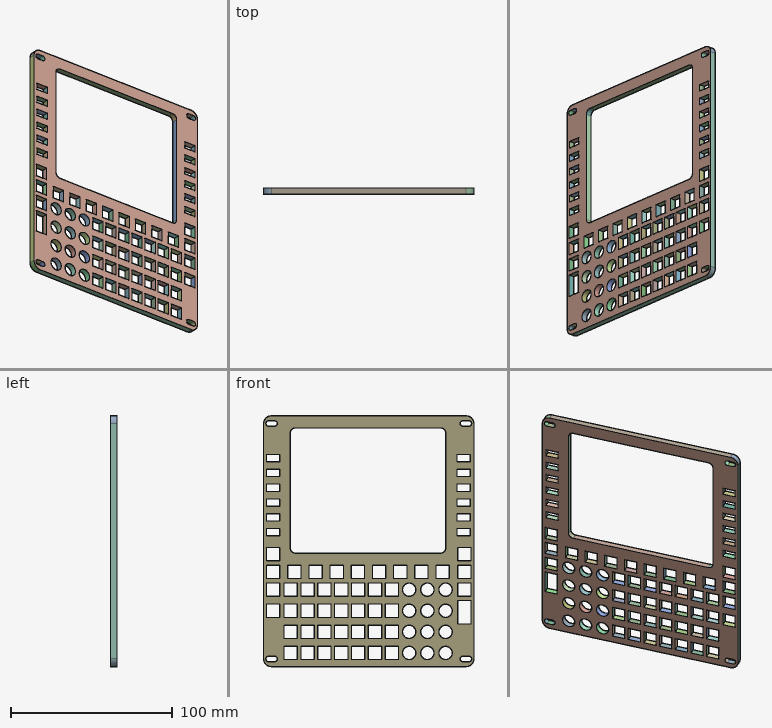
import cadquery as cq

WIDTH = 130.0
HEIGHT = 155
THICKNESS = 4.0
CORNER_RADIUS = 5.0

WINDOW_WIDTH = 96.0
WINDOW_HEIGHT = 77.2
WINDOW_X = -0.5
WINDOW_Z = 108.8
WINDOW_RADIUS = 3.1

SLOT_LENGTH = 7.0
SLOT_HEIGHT = 3.3
SLOT_X = 60.0
SLOT_EDGE_DISTANCE = 4.8

KEY_SIZE = 8.0
SIDE_COLUMN_X = 59.0

SOFT_KEY_HEIGHT = 4.3
SOFT_KEY_COUNT = 6
SOFT_KEY_PITCH = 9.1
SOFT_KEY_BOTTOM_Z = 83.1
LEFT_SOFT_KEY_X = -SIDE_COLUMN_X
RIGHT_SOFT_KEY_X = 58.6

CORNER_KEY_Z = 69.6
FUNCTION_ROW_Z = 58.6
FUNCTION_KEY_COUNT = 8
FUNCTION_FIRST_X = -45.9
FUNCTION_LAST_X = 45.5
MAIN_ROW_COUNT = 4
MAIN_ROW_PITCH = 13.0
MAIN_BOTTOM_Z = 8.5
MAIN_ROWS_Z = [MAIN_BOTTOM_Z + row * MAIN_ROW_PITCH for row in range(MAIN_ROW_COUNT)]
MAIN_TOP_Z = MAIN_ROWS_Z[-1]

LETTER_COUNT = 7
LETTER_FIRST_X = -48.2
LETTER_LAST_X = 14.3
NUMBER_COUNT = 3
NUMBER_FIRST_X = 25.0
NUMBER_LAST_X = 47.5

TALL_KEY_HEIGHT = 14.4
TALL_KEY_Z = 33.6


def evenly_spaced(first, last, count):
    pitch = (last - first) / (count - 1)
    return [first + i * pitch for i in range(count)]


def front_sketch(points):
    """Workplane on the plate's mid-plane, with local Y along Z, at the given (x, z) points."""
    return cq.Workplane("XZ").pushPoints(points)


def through_cut(profile):
    """Extrude a profile through the whole plate thickness."""
    return profile.extrude(THICKNESS / 2, both=True)


def rectangles(points, width, height):
    return through_cut(front_sketch(points).rect(width, height))


def rounded_block(x, z, width, height, radius):
    block = rectangles([(x, z)], width, height)
    return block.edges("|Y").fillet(radius)


def mounting_slots():
    heights = (SLOT_EDGE_DISTANCE, HEIGHT - SLOT_EDGE_DISTANCE)
    points = [(x, z) for x in (-SLOT_X, SLOT_X) for z in heights]
    return through_cut(front_sketch(points).slot2D(SLOT_LENGTH, SLOT_HEIGHT))


def soft_keys():
    heights = [SOFT_KEY_BOTTOM_Z + i * SOFT_KEY_PITCH for i in range(SOFT_KEY_COUNT)]
    points = [(x, z) for x in (LEFT_SOFT_KEY_X, RIGHT_SOFT_KEY_X) for z in heights]
    return rectangles(points, KEY_SIZE, SOFT_KEY_HEIGHT)


def side_keys():
    """Square keys along both edges; the left column runs one row lower than the right."""
    shared_rows = (CORNER_KEY_Z, FUNCTION_ROW_Z, MAIN_TOP_Z)
    points = [(x, z) for x in (-SIDE_COLUMN_X, SIDE_COLUMN_X) for z in shared_rows]
    points.append((-SIDE_COLUMN_X, MAIN_TOP_Z - MAIN_ROW_PITCH))
    return rectangles(points, KEY_SIZE, KEY_SIZE)


def tall_key():
    return rectangles([(SIDE_COLUMN_X, TALL_KEY_Z)], KEY_SIZE, TALL_KEY_HEIGHT)


def function_keys():
    columns = evenly_spaced(FUNCTION_FIRST_X, FUNCTION_LAST_X, FUNCTION_KEY_COUNT)
    points = [(x, FUNCTION_ROW_Z) for x in columns]
    return rectangles(points, KEY_SIZE, KEY_SIZE)


def letter_keys():
    columns = evenly_spaced(LETTER_FIRST_X, LETTER_LAST_X, LETTER_COUNT)
    points = [(x, z) for x in columns for z in MAIN_ROWS_Z]
    return rectangles(points, KEY_SIZE, KEY_SIZE)


def number_keys():
    columns = evenly_spaced(NUMBER_FIRST_X, NUMBER_LAST_X, NUMBER_COUNT)
    points = [(x, z) for x in columns for z in MAIN_ROWS_Z]
    return through_cut(front_sketch(points).circle(KEY_SIZE / 2))


plate = rounded_block(0, HEIGHT / 2, WIDTH, HEIGHT, CORNER_RADIUS)
window = rounded_block(WINDOW_X, WINDOW_Z, WINDOW_WIDTH, WINDOW_HEIGHT, WINDOW_RADIUS)

result = (
    plate.cut(window)
    .cut(mounting_slots())
    .cut(soft_keys())
    .cut(side_keys())
    .cut(tall_key())
    .cut(function_keys())
    .cut(letter_keys())
    .cut(number_keys())
)